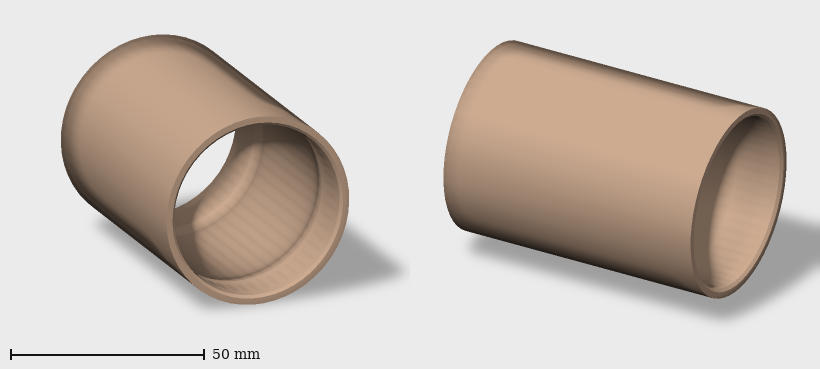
import cadquery as cq

length = 73.0
outer_radius = 25.4

end_bore_radius = 23.0
relief_radius = 23.7

mouth_radius = 23.7
mouth_depth = 0.7

taper_start = 13.15
taper_length = 4.4
taper_end = taper_start + taper_length

half_length = length / 2

bore_left = [
    (-half_length, mouth_radius),
    (-half_length + mouth_depth, end_bore_radius),
    (-half_length + taper_start, end_bore_radius),
    (-half_length + taper_end, relief_radius),
]
bore_right = [(-x, radius) for x, radius in reversed(bore_left)]
outer_wall = [(half_length, outer_radius), (-half_length, outer_radius)]

result = (
    cq.Workplane("XZ")
    .polyline(bore_left + bore_right + outer_wall)
    .close()
    .revolve(360, (0, 0, 0), (1, 0, 0))
)